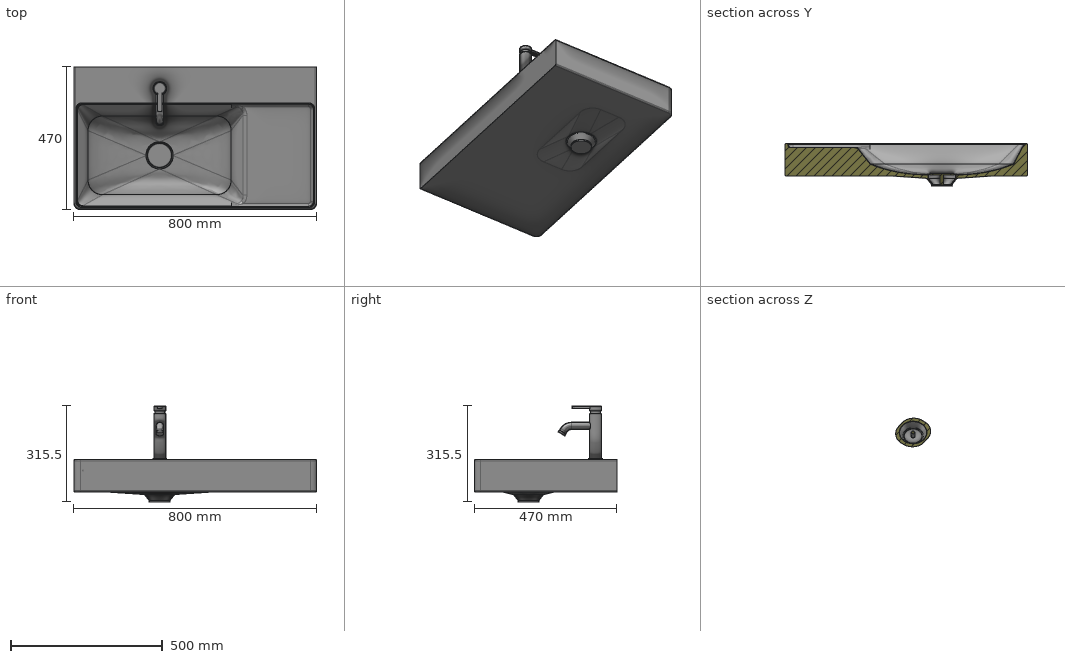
import cadquery as cq
import math


basin_length = 800.0
basin_width = 470.0
basin_height = 108.0
front_corner_radius = 21.0
outer_edge_radius = 5.0

rim_width = 6.0
deck_ledge = 119.0
recess_corner_radius = 16.0
rim_bevel_width = 4.0
rim_bevel_depth = 3.0

tray_depth = 13.5
tray_floor_radius = 9.5
tray_left = 120.0
lip_radius = 17.5

bowl_right = 173.0
bowl_x = -117.5
bowl_y = -57.0
wall_depth = 68.0
wall_foot_length = 472.0
wall_foot_width = 259.0
wall_foot_radius = 48.0
bowl_depth = 103.0
drain_ring_corner = 44.0
dish_steps = 3
dish_power = 2.2

bulge_length = 336.0
bulge_width = 168.0
bulge_corner_radius = 48.0
bulge_drop = 8.0
bulge_foot_radius = 51.0

drain_hole_radius = 45.0
drain_wall = 5.0
drain_outlet_radius = 34.0
drain_outlet_height = 5.5
drain_cone_height = 19.0
drain_floor = 4.0
cover_radius = 40.0
cover_thickness = 6.0
cover_top = -98.0
cover_edge = 1.5
cover_stem_radius = 6.0

tap_x = -117.0
tap_y = 164.0
flange_radius = 22.0
flange_height = 2.0
column_radius = 20.0
column_top = 150.0
column_edge = 1.5
collar_radius = 17.0
handle_bottom = 160.0
handle_top = 175.0
handle_edge = 2.0
lever_width = 15.0
lever_thickness = 8.0
lever_tip_radius = 5.5
lever_reach = 77.0

spout_radius = 12.0
spout_z = 110.0
spout_straight = 78.0
spout_bend_radius = 31.0
spout_bend_angle = math.radians(58)
spout_end_straight = 6.0
aerator_radius = 13.0
aerator_length = 7.0

back_y = basin_width / 2
recess_right = basin_length / 2 - rim_width - rim_bevel_width
recess_left = -recess_right
recess_front = rim_width + rim_bevel_width - back_y
recess_back = back_y - deck_ledge - rim_bevel_width
recess_length = recess_right - recess_left
recess_width = recess_back - recess_front
recess_y = (recess_back + recess_front) / 2
wall_foot_right = bowl_x + wall_foot_length / 2
drain_ring_size = 2 * drain_hole_radius
funnel_radius = drain_hole_radius + drain_wall
bulge_bottom = -basin_height - bulge_drop
drain_bottom = bulge_bottom - drain_cone_height - drain_outlet_height
drain_floor_top = drain_bottom + drain_floor
spout_end_y = -math.cos(spout_bend_angle)
spout_end_z = -math.sin(spout_bend_angle)


def rounded_wire(center_x, center_y, length, width, radius, z):
    """Horizontal rounded rectangle as a closed wire."""
    outline = cq.Workplane("XY").rect(length, width).extrude(8).edges("|Z").fillet(radius)
    wire = outline.faces("<Z").wires().val()
    return wire.translate(cq.Vector(center_x, center_y, z))


def blend(start, end, share):
    """Value that lies the given share of the way from start to end."""
    return start + (end - start) * share


def basin_block():
    """Block with rounded front corners and softened edges on the three free sides."""
    block = cq.Workplane("XY").box(basin_length, basin_width, basin_height, centered=(True, True, False))
    block = block.translate((0, 0, -basin_height))
    block = block.edges("|Z and <Y").fillet(front_corner_radius)
    outline = block.faces("<Z or >Z").edges("not >Y")
    return outline.fillet(outer_edge_radius)


def rim_bevel():
    """Sloped edge around the whole recess in the deck."""
    top_length = recess_length + 2 * rim_bevel_width
    top_width = recess_width + 2 * rim_bevel_width
    top_radius = recess_corner_radius + rim_bevel_width
    top = rounded_wire(0, recess_y, top_length, top_width, top_radius, 0)
    foot = rounded_wire(0, recess_y, recess_length, recess_width, recess_corner_radius, -rim_bevel_depth)
    return cq.Workplane(cq.Solid.makeLoft([top, foot], True))


def tray_recess():
    """Shallow tray with a rounded foot along its walls; its left end opens into the bowl."""
    length = recess_right - tray_left
    recess = cq.Workplane("XY").box(length, recess_width, tray_depth, centered=False)
    recess = recess.translate((tray_left, recess_front, -tray_depth))
    recess = recess.edges("|Z and >X").fillet(recess_corner_radius)
    return recess.faces("<Z").edges("not <X").fillet(tray_floor_radius)


def bowl_walls():
    """Steep bowl walls, from the deck down to the rounded foot of the walls."""
    rim = rounded_wire(
        (bowl_right + recess_left) / 2,
        recess_y,
        bowl_right - recess_left,
        recess_width,
        recess_corner_radius,
        0,
    )
    foot = rounded_wire(bowl_x, bowl_y, wall_foot_length, wall_foot_width, wall_foot_radius, -wall_depth)
    return cq.Workplane(cq.Solid.makeLoft([rim, foot], True))


def bowl_dish():
    """Curved bowl floor that falls from the foot of the walls and levels out at the drain."""
    rings = []
    for step in range(dish_steps + 1):
        share = step / dish_steps
        length = blend(wall_foot_length, drain_ring_size, share)
        width = blend(wall_foot_width, drain_ring_size, share)
        radius = blend(wall_foot_radius, drain_ring_corner, share)
        depth = blend(bowl_depth, wall_depth, (1 - share) ** dish_power)
        rings.append(rounded_wire(bowl_x, bowl_y, length, width, radius, -depth))
    return cq.Workplane(cq.Solid.makeLoft(rings))


def bowl_bulge():
    """Shallow swelling under the basin that narrows to the drain."""
    foot_size = 2 * bulge_foot_radius
    top = rounded_wire(bowl_x, bowl_y, bulge_length, bulge_width, bulge_corner_radius, -basin_height)
    foot = rounded_wire(bowl_x, bowl_y, foot_size, foot_size, bulge_corner_radius, bulge_bottom)
    return cq.Workplane(cq.Solid.makeLoft([top, foot], True))


def drain_hole():
    """Hole through the bowl floor; it stops inside the open bowl."""
    hole = cq.Workplane("XY", origin=(bowl_x, bowl_y, bulge_bottom)).circle(drain_hole_radius)
    return hole.extrude(-wall_depth - bulge_bottom)


def make_basin():
    """Basin with the tray, the bowl and the rounded lip between them."""
    basin = basin_block().union(bowl_bulge())
    basin = basin.cut(tray_recess()).cut(bowl_walls()).cut(bowl_dish())
    lip_x = blend(bowl_right, wall_foot_right, tray_depth / wall_depth)
    lip = basin.edges(cq.NearestToPointSelector((lip_x, bowl_y, -tray_depth)))
    return lip.fillet(lip_radius).cut(rim_bevel()).cut(drain_hole())


def make_drain():
    """Open funnel under the bowl, with a short outlet and a flat floor."""
    outlet_top = drain_bottom + drain_outlet_height
    outlet_inside = drain_outlet_radius - drain_wall
    half_section = [
        (0, drain_bottom),
        (drain_outlet_radius, drain_bottom),
        (drain_outlet_radius, outlet_top),
        (funnel_radius, bulge_bottom),
        (drain_hole_radius, bulge_bottom),
        (outlet_inside, outlet_top),
        (outlet_inside, drain_floor_top),
        (0, drain_floor_top),
    ]
    funnel = cq.Workplane("XZ").polyline(half_section).close().revolve(360, (0, 0, 0), (0, 1, 0))
    return funnel.translate((bowl_x, bowl_y, 0))


def make_cover():
    """Round drain cover on a thin stem that stands on the funnel floor."""
    disc_bottom = cover_top - cover_thickness
    disc = cq.Workplane("XY", origin=(bowl_x, bowl_y, disc_bottom)).circle(cover_radius)
    disc = disc.extrude(cover_thickness).faces(">Z").edges().fillet(cover_edge)
    stem = cq.Workplane("XY", origin=(bowl_x, bowl_y, drain_floor_top)).circle(cover_stem_radius)
    return disc.union(stem.extrude(disc_bottom - drain_floor_top))


def tap_cylinder(radius, bottom, top):
    """Upright cylinder on the axis of the tap."""
    return cq.Workplane("XY", origin=(tap_x, tap_y, bottom)).circle(radius).extrude(top - bottom)


def make_flange():
    """Thin disc between the deck and the tap column."""
    return tap_cylinder(flange_radius, 0, flange_height)


def spout_bend_point(angle):
    """Point (y, z) on the spout's centre line where it has turned down by the angle, in radians."""
    forward = spout_straight + spout_bend_radius * math.sin(angle)
    drop = spout_bend_radius * (1 - math.cos(angle))
    return tap_y - forward, spout_z - drop


def spout_end_point():
    """Point (y, z) in the middle of the spout's open end."""
    y, z = spout_bend_point(spout_bend_angle)
    return y + spout_end_straight * spout_end_y, z + spout_end_straight * spout_end_z


def make_column():
    """Tap column with its bent spout."""
    column = tap_cylinder(column_radius, flange_height, column_top).faces(">Z").edges().fillet(column_edge)
    path = (
        cq.Workplane("YZ", origin=(tap_x, 0, 0))
        .moveTo(tap_y, spout_z)
        .lineTo(*spout_bend_point(0))
        .threePointArc(spout_bend_point(spout_bend_angle / 2), spout_bend_point(spout_bend_angle))
        .lineTo(*spout_end_point())
    )
    spout = cq.Workplane("XZ", origin=(tap_x, tap_y, spout_z)).circle(spout_radius).sweep(path)
    return column.union(spout)


def make_aerator():
    """Nozzle ring on the open end of the spout."""
    start = cq.Vector(tap_x, *spout_end_point())
    direction = cq.Vector(0, spout_end_y, spout_end_z)
    return cq.Workplane(cq.Solid.makeCylinder(aerator_radius, aerator_length, start, direction))


def make_collar():
    """Narrow neck between the column and the handle."""
    return tap_cylinder(collar_radius, column_top, handle_bottom)


def make_handle():
    """Round cap with a lever that points over the spout."""
    cap = tap_cylinder(column_radius, handle_bottom, handle_top)
    cap = cap.faces("<Z or >Z").edges().fillet(handle_edge)
    lever = cq.Workplane("XY", origin=(tap_x, tap_y - lever_reach / 2, handle_top - lever_thickness))
    lever = lever.rect(lever_width, lever_reach).extrude(lever_thickness)
    lever = lever.edges("|Z and <Y").fillet(lever_tip_radius)
    return cap.union(lever)


basin = make_basin()
drain = make_drain()
cover = make_cover()
flange = make_flange()
column = make_column()
aerator = make_aerator()
collar = make_collar()
handle = make_handle()

result = cq.Compound.makeCompound([
    basin.val(),
    drain.val(),
    cover.val(),
    flange.val(),
    column.val(),
    aerator.val(),
    collar.val(),
    handle.val(),
])